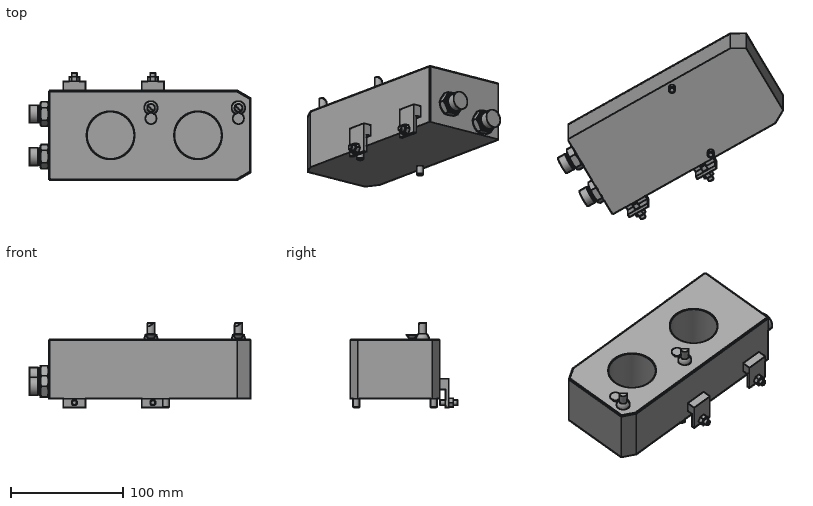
import cadquery as cq
import math

LENGTH = 180.0
WIDTH = 80.0
HEIGHT = 53.0
EDGE_CHAMFER = 1.0
CORNER_CUT_LENGTH = 12.0
CORNER_CUT_ANGLE = 30.0

BORE_DIAMETER = 42.0
BORE_FLOOR = 3.0
BORE_CHAMFER = 0.5
BORE_PITCH = 78.0
FIRST_BORE_X = 55.0
BORE_XS = [FIRST_BORE_X, FIRST_BORE_X + BORE_PITCH]

STUD_OFFSET_X = 36.0
STUD_Y = 64.5
STUD_DIAMETER = 7.0
STUD_HEIGHT = 14.5
STUD_BEVEL_OFFSET = 0.5
STUD_BEVEL_DIRECTION = 45.0
DOME_RADIUS = 6.0
DOME_HEIGHT = math.sqrt(DOME_RADIUS**2 - (STUD_DIAMETER / 2) ** 2)
CONE_SCREW_Y = 55.0
CONE_TOP_DIAMETER = 10.0
CONE_SHANK_DIAMETER = 5.0
CONE_SCREW_HEIGHT = 4.0
CONE_HEIGHT = 3.0

FITTING_CENTRES = [(59.0, 20.0), (21.0, 11.0)]
FITTING_LENGTH = 17.5
FITTING_DIAMETER = 16.0
NECK_DIAMETER = 15.2
NECK_CHAMFER = (FITTING_DIAMETER - NECK_DIAMETER) / 2
BARREL_LENGTH = 7.5
COLLAR_THICKNESS = 0.5
FITTING_HEX = 19.0
FITTING_HEX_THICKNESS = 7.0
HEX_CHAMFER_ANGLE = 30.0
HEX_SIDES = 6

PIN_X = 104.5
PIN_YS = [5.5, 74.5]
PIN_DIAMETER = 6.0
PIN_LENGTH = 8.0
PIN_CHAMFER = 1.0

BRACKET_PITCH = 70.0
FIRST_BRACKET_X = 22.75
BRACKET_CENTRES_X = [FIRST_BRACKET_X, FIRST_BRACKET_X + BRACKET_PITCH]
BRACKET_WIDTH = 20.0
BRACKET_DEPTH = 8.0
BRACKET_TOP = 18.0
BRACKET_BOTTOM = -8.0
BRACKET_FOOT_HEIGHT = 10.0
BRACKET_LEG_THICKNESS = 3.0
SET_SCREW_Z = -3.5
SET_SCREW_DIAMETER = 5.0
SET_SCREW_LENGTH = 16.0
SET_SCREW_CHAMFER = 0.5
NUT_HEX = 8.0
NUT_THICKNESS = 4.0


def hexagon_corners(across_flats):
    """Diameter across the corners of a hexagon."""
    return across_flats / math.cos(math.pi / HEX_SIDES)


def block():
    cut_width = CORNER_CUT_LENGTH * math.tan(math.radians(CORNER_CUT_ANGLE))
    body = (
        cq.Workplane("XY")
        .moveTo(0, 0)
        .lineTo(LENGTH - CORNER_CUT_LENGTH, 0)
        .lineTo(LENGTH, cut_width)
        .lineTo(LENGTH, WIDTH - cut_width)
        .lineTo(LENGTH - CORNER_CUT_LENGTH, WIDTH)
        .lineTo(0, WIDTH)
        .close()
        .extrude(HEIGHT)
    )
    body = body.faces("<X").edges("|Z").chamfer(EDGE_CHAMFER)
    return body.faces(">Z").edges().chamfer(EDGE_CHAMFER)


def bore(x):
    depth = HEIGHT - BORE_FLOOR
    radius = BORE_DIAMETER / 2
    mouth = (
        cq.Workplane("XY", origin=(x, WIDTH / 2, HEIGHT))
        .circle(radius + BORE_CHAMFER)
        .workplane(offset=-BORE_CHAMFER)
        .circle(radius)
        .loft(ruled=True)
    )
    hole = cq.Workplane("XY", origin=(x, WIDTH / 2, BORE_FLOOR)).circle(radius).extrude(depth)
    return hole.union(mouth)


def stud(x):
    """Round stud on a domed base; a 45 degree plane bevels nearly half of its tip."""
    radius = STUD_DIAMETER / 2
    shank = cq.Workplane("XY").circle(radius).extrude(STUD_HEIGHT)
    bevel = (
        cq.Workplane("XZ")
        .moveTo(0, STUD_HEIGHT)
        .lineTo(-STUD_DIAMETER, STUD_HEIGHT)
        .lineTo(-STUD_DIAMETER, STUD_HEIGHT - STUD_DIAMETER)
        .close()
        .extrude(radius, both=True)
        .translate((-STUD_BEVEL_OFFSET, 0, 0))
        .rotate((0, 0, 0), (0, 0, 1), STUD_BEVEL_DIRECTION)
    )
    dome_box = cq.Workplane("XY").rect(2 * DOME_RADIUS, 2 * DOME_RADIUS).extrude(DOME_HEIGHT)
    dome = cq.Workplane("XY").sphere(DOME_RADIUS).intersect(dome_box)
    return shank.cut(bevel).union(dome).translate((x, STUD_Y, HEIGHT))


def cone_screw(x):
    shank_radius = CONE_SHANK_DIAMETER / 2
    return (
        cq.Workplane("XZ")
        .lineTo(shank_radius, 0)
        .lineTo(shank_radius, CONE_SCREW_HEIGHT - CONE_HEIGHT)
        .lineTo(CONE_TOP_DIAMETER / 2, CONE_SCREW_HEIGHT)
        .lineTo(0, CONE_SCREW_HEIGHT)
        .close()
        .revolve(360, (0, 0), (0, 1))
        .translate((x, CONE_SCREW_Y, HEIGHT))
    )


def chamfered_hexagon(across_flats, thickness):
    """Hexagon along Z from Z = 0, with the corners of both ends chamfered by a cone."""
    corners = hexagon_corners(across_flats)
    flat_radius = across_flats / 2
    corner_radius = corners / 2
    drop = (corner_radius - flat_radius) * math.tan(math.radians(HEX_CHAMFER_ANGLE))
    envelope = (
        cq.Workplane("XZ")
        .lineTo(flat_radius, 0)
        .lineTo(corner_radius, drop)
        .lineTo(corner_radius, thickness - drop)
        .lineTo(flat_radius, thickness)
        .lineTo(0, thickness)
        .close()
        .revolve(360, (0, 0), (0, 1))
    )
    return cq.Workplane("XY").polygon(HEX_SIDES, corners).extrude(thickness).intersect(envelope)


def fitting(y, z):
    """Collar, hexagon, neck and barrel, stacked outward from the left face."""
    neck_start = COLLAR_THICKNESS + FITTING_HEX_THICKNESS
    barrel_base = FITTING_LENGTH - BARREL_LENGTH
    barrel_radius = FITTING_DIAMETER / 2
    neck_radius = NECK_DIAMETER / 2
    collar = cq.Workplane("XY").circle(FITTING_HEX / 2).extrude(COLLAR_THICKNESS)
    hexagon = chamfered_hexagon(FITTING_HEX, FITTING_HEX_THICKNESS).translate((0, 0, COLLAR_THICKNESS))
    turned = (
        cq.Workplane("XZ")
        .moveTo(0, neck_start)
        .lineTo(barrel_radius, neck_start)
        .lineTo(barrel_radius, neck_start + NECK_CHAMFER)
        .lineTo(neck_radius, neck_start + 2 * NECK_CHAMFER)
        .lineTo(neck_radius, barrel_base - NECK_CHAMFER)
        .lineTo(barrel_radius, barrel_base)
        .lineTo(barrel_radius, FITTING_LENGTH)
        .lineTo(0, FITTING_LENGTH)
        .close()
        .revolve(360, (0, 0), (0, 1))
    )
    stack = collar.union(hexagon).union(turned)
    outward = stack.rotate((0, 0, 0), (0, 0, 1), 90).rotate((0, 0, 0), (0, 1, 0), -90)
    return outward.translate((0, y, z))


def dowel_pin(y):
    pin = cq.Workplane("XY", origin=(PIN_X, y, 0)).circle(PIN_DIAMETER / 2).extrude(-PIN_LENGTH)
    return pin.faces("<Z").chamfer(PIN_CHAMFER)


def bracket(x):
    """L-shaped bracket; its leg hangs below the block and carries the set screw and nut."""
    back = WIDTH + BRACKET_DEPTH
    foot_bottom = BRACKET_TOP - BRACKET_FOOT_HEIGHT
    angle = (
        cq.Workplane("YZ", origin=(x, 0, 0))
        .moveTo(WIDTH, BRACKET_TOP)
        .lineTo(back, BRACKET_TOP)
        .lineTo(back, BRACKET_BOTTOM)
        .lineTo(back - BRACKET_LEG_THICKNESS, BRACKET_BOTTOM)
        .lineTo(back - BRACKET_LEG_THICKNESS, foot_bottom)
        .lineTo(WIDTH, foot_bottom)
        .close()
        .extrude(BRACKET_WIDTH / 2, both=True)
    )
    screw = (
        cq.Workplane("XZ", origin=(x, WIDTH, SET_SCREW_Z))
        .circle(SET_SCREW_DIAMETER / 2)
        .extrude(-SET_SCREW_LENGTH)
        .faces("<Y or >Y")
        .chamfer(SET_SCREW_CHAMFER)
    )
    nut = (
        cq.Workplane("XZ", origin=(x, back, SET_SCREW_Z))
        .polygon(HEX_SIDES, hexagon_corners(NUT_HEX))
        .extrude(-NUT_THICKNESS)
    )
    return angle.union(screw).union(nut)


result = block()
for bore_x in BORE_XS:
    result = result.cut(bore(bore_x))
    result = result.union(stud(bore_x + STUD_OFFSET_X))
    result = result.union(cone_screw(bore_x + STUD_OFFSET_X))
for fitting_y, fitting_z in FITTING_CENTRES:
    result = result.union(fitting(fitting_y, fitting_z))
for pin_y in PIN_YS:
    result = result.union(dowel_pin(pin_y))
for bracket_x in BRACKET_CENTRES_X:
    result = result.union(bracket(bracket_x))